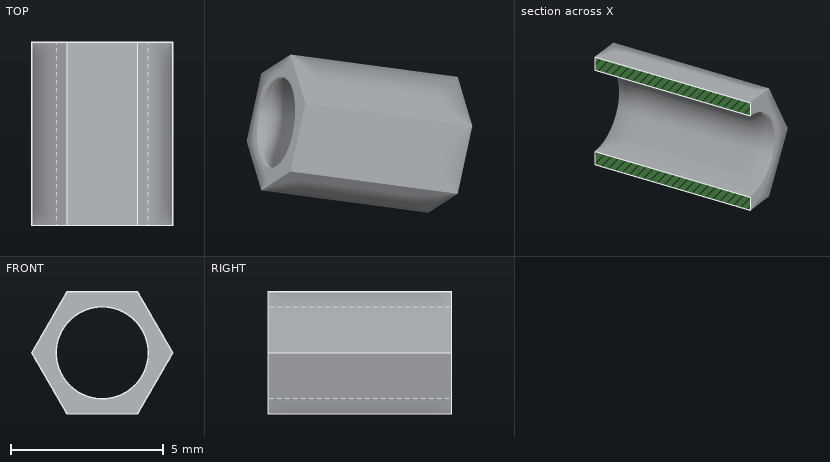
import cadquery as cq
import math

across_flats = 4.0
length = 6.0
bore_diameter = 3.0

across_corners = across_flats / math.cos(math.pi / 6)


def hex_body():
    """Hexagonal bar centred on the origin, with flats facing +Z and -Z."""
    return cq.Workplane("XZ").polygon(6, across_corners).extrude(length / 2, both=True)


def bore():
    """Cylinder that runs the full length of the sleeve."""
    return cq.Workplane("XZ").circle(bore_diameter / 2).extrude(length / 2, both=True)


result = hex_body().cut(bore())